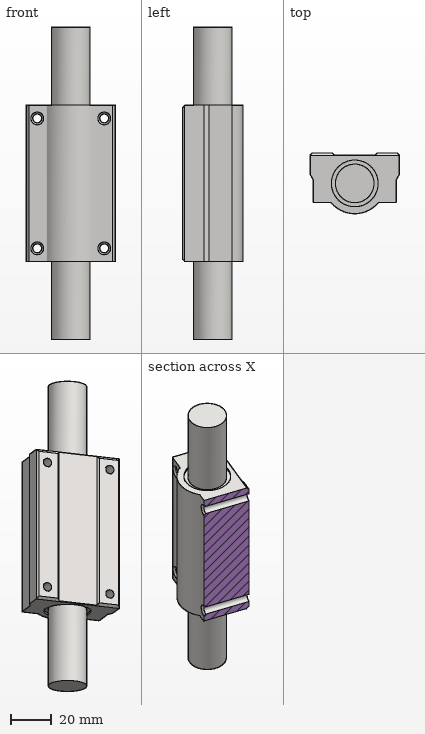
import cadquery as cq

shaft_diameter = 19.0
shaft_length = 154.0

block_length = shaft_length / 2
block_width = 44.0
barrel_radius = 15.0
back_y = 15.0
front_y = -9.5
lower_width = 41.0
flank_slope_back_y = 4.4
flank_slope_front_y = 1.8
front_edge_radius = 0.5

channel_depth = 1.0
channel_floor_width = 20.0
pad_outer_chamfer = 1.0
pad_end_chamfer = 1.3

recess_diameter = 23.0
recess_depth = 1.0

hole_diameter = 4.3
countersink_diameter = 6.3
countersink_depth = 1.0
hole_spacing_x = 33.0
hole_spacing_z = 64.0


def make_block():
    half_width = block_width / 2
    half_lower = lower_width / 2
    half_channel = channel_floor_width / 2
    channel_y = back_y - channel_depth
    barrel_x = (barrel_radius**2 - front_y**2) ** 0.5
    right_side = [
        (barrel_x, front_y),
        (half_lower, front_y),
        (half_lower, flank_slope_front_y),
        (half_width, flank_slope_back_y),
        (half_width, back_y - pad_outer_chamfer),
        (half_width - pad_outer_chamfer, back_y),
        (half_channel + channel_depth, back_y),
        (half_channel, channel_y),
    ]
    left_side = [(-x, y) for x, y in reversed(right_side)]
    block = (
        cq.Workplane("XY")
        .polyline(right_side + left_side)
        .threePointArc((0, -barrel_radius), (barrel_x, front_y))
        .close()
        .extrude(block_length / 2, both=True)
    )
    for side in (-1, 1):
        for edge_x in (barrel_x, half_lower):
            edge = cq.selectors.NearestToPointSelector((side * edge_x, front_y, 0))
            block = block.edges("|Z").edges(edge).fillet(front_edge_radius)
    return block


def make_pad_end_cutter():
    """Triangular prisms that bevel the back edge of the block at both ends."""
    cutter = cq.Workplane("YZ")
    for end in (-1, 1):
        end_z = end * block_length / 2
        bevel = (
            cq.Workplane("YZ")
            .polyline([
                (back_y, end_z),
                (back_y - pad_end_chamfer, end_z),
                (back_y, end_z - end * pad_end_chamfer),
            ])
            .close()
            .extrude(block_width, both=True)
        )
        cutter = cutter.add(bevel)
    return cutter.combine()


def make_recess_cutter():
    """Cylinders that sink into both ends of the block."""
    full_cylinder = cq.Workplane("XY").circle(recess_diameter / 2).extrude(block_length / 2, both=True)
    middle = cq.Workplane("XY").box(block_width, block_width, block_length - 2 * recess_depth)
    return full_cylinder.cut(middle)


def make_countersunk_hole_cutter(x, z):
    """Drill shape revolved about the Y axis, then moved to the hole position."""
    drill = (
        cq.Workplane("XY")
        .polyline([
            (0, front_y),
            (countersink_diameter / 2, front_y),
            (hole_diameter / 2, front_y + countersink_depth),
            (hole_diameter / 2, back_y),
            (0, back_y),
        ])
        .close()
        .revolve(360, (0, 0), (0, 1))
    )
    return drill.translate((x, 0, z))


body = make_block().cut(make_pad_end_cutter()).cut(make_recess_cutter())
for side in (-1, 1):
    for end in (-1, 1):
        body = body.cut(make_countersunk_hole_cutter(side * hole_spacing_x / 2, end * hole_spacing_z / 2))

shaft = cq.Workplane("XY").circle(shaft_diameter / 2).extrude(shaft_length / 2, both=True)
result = body.union(shaft)